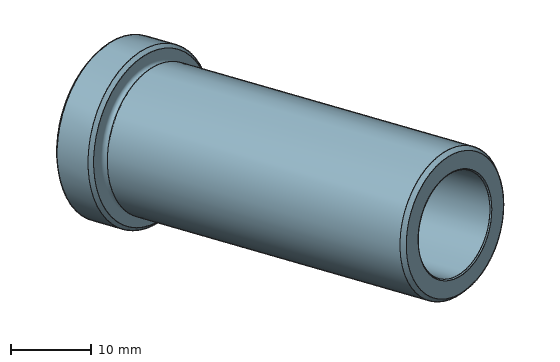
import cadquery as cq

length = 55.0
head_diameter = 24.0
head_length = 6.0
body_diameter = 20.0
bore_diameter = 14.0

head_chamfer = 0.5
tip_chamfer_length = 0.6
tip_chamfer_depth = 0.5
bore_chamfer = 0.15

groove_radius = 0.5

head_radius = head_diameter / 2
body_radius = body_diameter / 2
bore_radius = bore_diameter / 2

head_face = -length / 2
head_back = head_face + head_length
groove_middle = head_back + groove_radius
groove_end = head_back + 2 * groove_radius
tip = length / 2

half_section = (
    cq.Workplane("XY")
    .moveTo(head_face, bore_radius + bore_chamfer)
    .lineTo(head_face, head_radius - head_chamfer)
    .lineTo(head_face + head_chamfer, head_radius)
    .lineTo(head_back - head_chamfer, head_radius)
    .lineTo(head_back, head_radius - head_chamfer)
    .lineTo(head_back, body_radius)
    .threePointArc((groove_middle, body_radius - groove_radius), (groove_end, body_radius))
    .lineTo(tip - tip_chamfer_length, body_radius)
    .lineTo(tip, body_radius - tip_chamfer_depth)
    .lineTo(tip, bore_radius + bore_chamfer)
    .lineTo(tip - bore_chamfer, bore_radius)
    .lineTo(head_face + bore_chamfer, bore_radius)
    .close()
)

result = half_section.revolve(360, (0, 0, 0), (1, 0, 0))